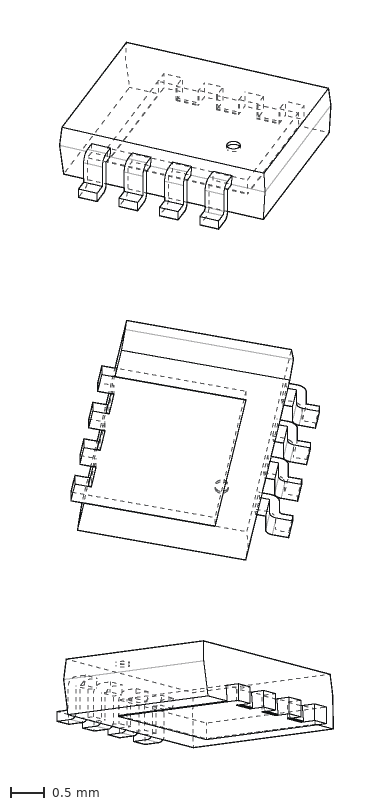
import cadquery as cq
import math

PACKAGE_SIZE = 3.3
TOP_Z = 0.85

HOUSING_BOTTOM_Z = 0.013
PARTING_Z = 0.54
DRAFT_ANGLE = 5.0
FRONT_WALL_Y = -1.15
BACK_WALL_Y = 1.402

DOT_DIAMETER = 0.2
DOT_DEPTH = 0.05
DOT_X = 0.915
DOT_Y = -0.595

LEAD_COUNT = 4
LEAD_PITCH = 0.65
LEAD_WIDTH = 0.3
LEAD_ROW_X = -0.0115
LEAD_THICKNESS = 0.15
LEAD_BOTTOM_Z = 0.05
LEAD_OUTER_Y = -1.45
HEEL_RADIUS = 0.1
PIN_ONE_FILLET = 0.05

PAD_THICKNESS = 0.25
PAD_FRONT_Y = -0.535

HALF_SIZE = PACKAGE_SIZE / 2
DRAFT_SLOPE = math.tan(math.radians(DRAFT_ANGLE))
UPPER_INSET = (TOP_Z - PARTING_Z) * DRAFT_SLOPE
LOWER_INSET = (PARTING_Z - HOUSING_BOTTOM_Z) * DRAFT_SLOPE
LEAD_TOP_Z = PARTING_Z + LEAD_THICKNESS
FOOT_TOP_Z = LEAD_BOTTOM_Z + LEAD_THICKNESS
LEAD_INNER_Y = LEAD_OUTER_Y + LEAD_THICKNESS
LEAD_SPAN = (LEAD_COUNT - 1) * LEAD_PITCH
LEAD_CENTERS = [LEAD_ROW_X - LEAD_SPAN / 2 + i * LEAD_PITCH for i in range(LEAD_COUNT)]
PIN_ONE_INDEX = LEAD_COUNT - 1


def block(x_range, y_range, z_range):
    """Plain box between two limits along each axis."""
    sizes = [high - low for low, high in (x_range, y_range, z_range)]
    return cq.Workplane("XY").box(*sizes, centered=False).translate((x_range[0], y_range[0], z_range[0]))


def make_lead(center_x, inner_fillet=0.0):
    """Gull-wing lead, bent from a strip, that starts on the front wall of the housing."""
    root_top_y = FRONT_WALL_Y + LEAD_THICKNESS * DRAFT_SLOPE
    profile = (
        cq.Workplane("YZ", origin=(center_x - LEAD_WIDTH / 2, 0, 0))
        .moveTo(FRONT_WALL_Y, PARTING_Z)
        .lineTo(LEAD_INNER_Y, PARTING_Z)
        .lineTo(LEAD_INNER_Y, LEAD_BOTTOM_Z + HEEL_RADIUS)
        .radiusArc((LEAD_INNER_Y - HEEL_RADIUS, LEAD_BOTTOM_Z), HEEL_RADIUS)
        .lineTo(-HALF_SIZE, LEAD_BOTTOM_Z)
        .lineTo(-HALF_SIZE, FOOT_TOP_Z)
    )
    if inner_fillet:
        profile = profile.lineTo(LEAD_OUTER_Y - inner_fillet, FOOT_TOP_Z).radiusArc(
            (LEAD_OUTER_Y, FOOT_TOP_Z + inner_fillet), -inner_fillet
        )
    else:
        profile = profile.lineTo(LEAD_OUTER_Y, FOOT_TOP_Z)
    return (
        profile.lineTo(LEAD_OUTER_Y, PARTING_Z)
        .radiusArc((LEAD_INNER_Y, LEAD_TOP_Z), LEAD_THICKNESS)
        .lineTo(root_top_y, LEAD_TOP_Z)
        .close()
        .extrude(LEAD_WIDTH)
    )


def make_pad():
    """Thermal pad under the housing, with a row of tabs out of the back wall."""
    x_range = (LEAD_CENTERS[0] - LEAD_WIDTH / 2, LEAD_CENTERS[-1] + LEAD_WIDTH / 2)
    pad = block(x_range, (PAD_FRONT_Y, BACK_WALL_Y), (0, PAD_THICKNESS))
    for center_x in LEAD_CENTERS:
        tab_x_range = (center_x - LEAD_WIDTH / 2, center_x + LEAD_WIDTH / 2)
        pad = pad.union(block(tab_x_range, (BACK_WALL_Y, HALF_SIZE), (0, PAD_THICKNESS)))
    return pad


def make_housing(pad):
    """Molded housing: drafted side walls, a back wall in one slope and a bed for the pad."""
    side_profile = [
        (FRONT_WALL_Y + LOWER_INSET, HOUSING_BOTTOM_Z),
        (FRONT_WALL_Y, PARTING_Z),
        (FRONT_WALL_Y + UPPER_INSET, TOP_Z),
        (BACK_WALL_Y - UPPER_INSET, TOP_Z),
        (BACK_WALL_Y + LOWER_INSET, HOUSING_BOTTOM_Z),
    ]
    front_profile = [
        (-HALF_SIZE + LOWER_INSET, HOUSING_BOTTOM_Z),
        (-HALF_SIZE, PARTING_Z),
        (-HALF_SIZE + UPPER_INSET, TOP_Z),
        (HALF_SIZE - UPPER_INSET, TOP_Z),
        (HALF_SIZE, PARTING_Z),
        (HALF_SIZE - LOWER_INSET, HOUSING_BOTTOM_Z),
    ]
    side_prism = cq.Workplane("YZ").polyline(side_profile).close().extrude(HALF_SIZE, both=True)
    front_prism = cq.Workplane("XZ").polyline(front_profile).close().extrude(HALF_SIZE, both=True)
    dot = (
        cq.Workplane("XY", origin=(DOT_X, DOT_Y, TOP_Z - DOT_DEPTH))
        .circle(DOT_DIAMETER / 2)
        .extrude(DOT_DEPTH)
    )
    return side_prism.intersect(front_prism).cut(dot).cut(pad)


leads = []
for index, center_x in enumerate(LEAD_CENTERS):
    fillet = PIN_ONE_FILLET if index == PIN_ONE_INDEX else 0.0
    leads.append(make_lead(center_x, fillet))

thermal_pad = make_pad()
housing = make_housing(thermal_pad)

result = cq.Compound.makeCompound([housing.val(), thermal_pad.val(), *[lead.val() for lead in leads]])